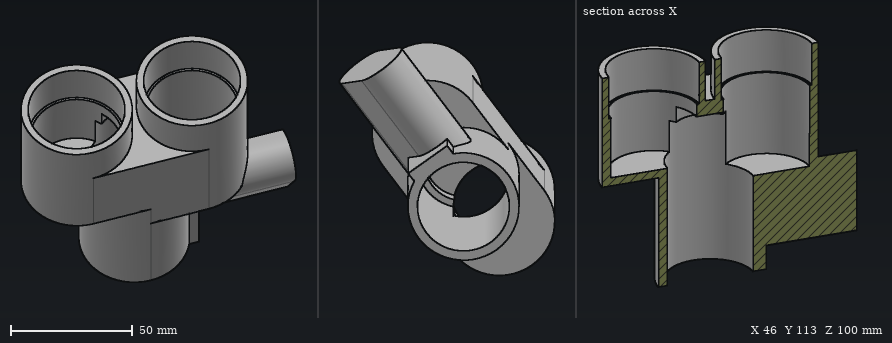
import cadquery as cq

total_length = 113.0
total_height = 100.0

tube_diameter = 46.0
bore_diameter = 38.0
socket_diameter = 40.0
socket_depth = 19.0
tube_pitch = 50.0
front_y = -tube_pitch / 2
rear_y = tube_pitch / 2
front_tube_height = 50.1
rear_tube_height = 60.0
floor_thickness = 4.0
front_bottom = total_height - front_tube_height
rear_bottom = total_height - rear_tube_height

web_height = 32.0
lower_web_top = rear_bottom + web_height

passage_diameter = 32.0
outlet_bore_top = lower_web_top - floor_thickness
passage_depth = 25.0
passage_top = total_height - passage_depth

arm_radius = 11.0
arm_center_z = 29.3
arm_pitch = 20.0
arm_angle = 60.0
arm_end_y = total_length + front_y - tube_diameter / 2

rib_width = 20.0


def cylinder(diameter, y, bottom, top):
    """Upright cylinder centred on X = 0."""
    return (
        cq.Workplane("XY", origin=(0, y, bottom))
        .circle(diameter / 2)
        .extrude(top - bottom)
    )


def box(width, y_start, y_end, bottom, top):
    """Upright box centred on X = 0."""
    return (
        cq.Workplane("XY", origin=(0, (y_start + y_end) / 2, bottom))
        .rect(width, y_end - y_start)
        .extrude(top - bottom)
    )


def slanted_arm():
    """Stadium section leaning over towards +X, running from the outlet to the back."""
    return (
        cq.Workplane("XZ")
        .center(0, arm_center_z)
        .slot2D(arm_pitch + 2 * arm_radius, 2 * arm_radius, arm_angle)
        .extrude(-arm_end_y)
    )


body = cylinder(tube_diameter, 0, 0, lower_web_top)
body = body.union(cylinder(tube_diameter, front_y, front_bottom, total_height))
body = body.union(cylinder(tube_diameter, rear_y, rear_bottom, total_height))
body = body.union(box(tube_diameter, front_y, rear_y, front_bottom, front_bottom + web_height))
body = body.union(box(tube_diameter, 0, rear_y, rear_bottom, lower_web_top))
body = body.union(slanted_arm())
body = body.union(box(rib_width, 0, rear_y, 0, arm_center_z))

front_floor = front_bottom + floor_thickness
rear_floor = rear_bottom + floor_thickness
for tube_y, floor_z in ((front_y, front_floor), (rear_y, rear_floor)):
    body = body.cut(cylinder(bore_diameter, tube_y, floor_z, total_height))
    body = body.cut(cylinder(socket_diameter, tube_y, total_height - socket_depth, total_height))
body = body.cut(cylinder(bore_diameter, 0, 0, outlet_bore_top))
body = body.cut(cylinder(passage_diameter, 0, 0, passage_top))

result = body